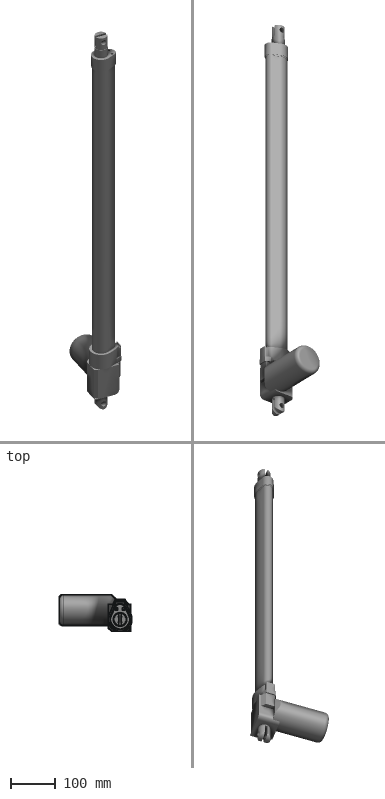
import math

import cadquery as cq


overall_length = 163.51
overall_depth = 82.55
overall_height = 988.0

clevis_diameter = 28.57
bottom_z = -clevis_diameter / 2
top_z = bottom_z + overall_height
gearbox_bottom_z = 23.0
gearbox_top_z = 100.5
collar_top_z = 139.0
cap_top_z = top_z - 52.0
cap_height = 29.5
seal_height = 3.0
rod_end_z = top_z - 31.0

pin_diameter = 12.7
clevis_slot_width = 6.35
lower_slot_top_z = 19.0
upper_slot_depth = 28.5
upper_pin_z = top_z - 12.0
rod_diameter = 30.16

tube_radius = 20.5
tube_lobe_radius = 11.4
lobe_y = 22.1
seal_offset = 0.9
cap_offset = 1.9
collar_radius = 26.7
collar_offset = collar_radius - tube_radius

cap_hole_diameter = 5.92
cap_hole_x = 8.0
cap_hole_y = 23.5
cap_hole_depth = 12.0

gearbox_left_x = -collar_radius
gearbox_right_x = 23.7
gearbox_rear_y = 34.0
gearbox_front_y = -collar_radius
front_face_half_width = 17.9
front_chamfer_depth = 7.0
gearbox_rear_fillet = 12.0
foot_height = 3.0
lug_rear_y = 43.0
lug_half_width = 10.4
lug_base_right_x = lug_half_width + lug_rear_y - gearbox_rear_y

socket_rear_y = 45.8
socket_base_half_width = 16.0
socket_base_top_z = 112.0
socket_rear_fillet = 2.4
socket_channel_width = 3.6
socket_channel_depth = 3.0

motor_diameter = 69.85
motor_left_x = collar_radius - overall_length
motor_y = gearbox_front_y + overall_depth - motor_diameter / 2
motor_z = 60.0
motor_end_fillet = 9.0
motor_bevel_start_x = -20.0
motor_bevel = 10.0


def z_cylinder(diameter, z_low, z_high):
    return cq.Workplane("XY").workplane(offset=z_low).circle(diameter / 2).extrude(z_high - z_low)


def x_cylinder(diameter, y, z, x_low, x_high):
    plane = cq.Workplane("YZ", origin=(x_low, y, z))
    return plane.circle(diameter / 2).extrude(x_high - x_low)


def box(x_low, x_high, y_low, y_high, z_low, z_high):
    size = (x_high - x_low, y_high - y_low, z_high - z_low)
    return cq.Workplane("XY").box(*size, centered=False).translate((x_low, y_low, z_low))


def teardrop(offset, z_low, z_high):
    """Prism around the tube section, offset outward: two circles joined by their common tangents."""
    radius = tube_radius + offset
    lobe_radius = tube_lobe_radius + offset
    slope = math.asin((radius - lobe_radius) / lobe_y)
    main_x = radius * math.cos(slope)
    main_y = radius * math.sin(slope)
    lobe_x = lobe_radius * math.cos(slope)
    lobe_tangent_y = lobe_y + lobe_radius * math.sin(slope)
    return (
        cq.Workplane("XY")
        .workplane(offset=z_low)
        .moveTo(-main_x, main_y)
        .threePointArc((0, -radius), (main_x, main_y))
        .lineTo(lobe_x, lobe_tangent_y)
        .threePointArc((0, lobe_y + lobe_radius), (-lobe_x, lobe_tangent_y))
        .close()
        .extrude(z_high - z_low)
    )


def lower_clevis():
    radius = clevis_diameter / 2
    body = z_cylinder(clevis_diameter, bottom_z, gearbox_bottom_z)
    rounded_side = x_cylinder(clevis_diameter, 0, 0, -radius, radius)
    rounded_side = rounded_side.union(box(-radius, radius, -radius, radius, 0, gearbox_bottom_z))
    slot = box(-clevis_slot_width / 2, clevis_slot_width / 2, -radius, radius, bottom_z, lower_slot_top_z)
    pin_hole = x_cylinder(pin_diameter, 0, 0, -radius, radius)
    return body.intersect(rounded_side).cut(slot).cut(pin_hole)


def upper_clevis():
    radius = clevis_diameter / 2
    slot_radius = clevis_slot_width / 2
    slot_center_z = top_z - upper_slot_depth + slot_radius
    body = z_cylinder(clevis_diameter, rod_end_z, top_z)
    slot = box(-slot_radius, slot_radius, -radius, radius, slot_center_z, top_z)
    slot_end_plane = cq.Workplane("XZ", origin=(0, radius, slot_center_z))
    slot_end = slot_end_plane.circle(slot_radius).extrude(clevis_diameter)
    pin_hole = x_cylinder(pin_diameter, 0, upper_pin_z, -radius, radius)
    return body.cut(slot).cut(slot_end).cut(pin_hole)


def tube_assembly():
    cap_bottom_z = cap_top_z - cap_height
    seal_bottom_z = cap_bottom_z - seal_height
    tube = teardrop(0, collar_top_z, seal_bottom_z)
    seal = teardrop(seal_offset, seal_bottom_z, cap_bottom_z)
    cap = teardrop(cap_offset, cap_bottom_z, cap_top_z)
    for x in (-cap_hole_x, cap_hole_x):
        hole = z_cylinder(cap_hole_diameter, cap_top_z - cap_hole_depth, cap_top_z)
        cap = cap.cut(hole.translate((x, cap_hole_y, 0)))
    rod = z_cylinder(rod_diameter, cap_top_z, rod_end_z)
    return tube.union(seal).union(cap).union(rod)


def rear_lug(rear_y, base_left_x, base_right_x, z_low, z_high):
    """Block from the axis to rear_y; its flanks run in from the base width behind the gearbox rear face."""
    outline = [
        (base_left_x, 0),
        (base_right_x, 0),
        (base_right_x, gearbox_rear_y),
        (lug_half_width, rear_y),
        (-lug_half_width, rear_y),
        (base_left_x, gearbox_rear_y),
    ]
    return cq.Workplane("XY").workplane(offset=z_low).polyline(outline).close().extrude(z_high - z_low)


def socket_block():
    """Block behind the collar with rounded rear edges and a shallow channel across its top."""
    block = box(-lug_half_width, lug_half_width, lobe_y, socket_rear_y, socket_base_top_z, collar_top_z)
    block = block.faces(">Y").edges("|Z").fillet(socket_rear_fillet)
    channel_front_y = lobe_y + tube_lobe_radius + collar_offset
    channel = box(
        -lug_half_width,
        lug_half_width,
        channel_front_y,
        channel_front_y + socket_channel_width,
        collar_top_z - socket_channel_depth,
        collar_top_z,
    )
    return block.cut(channel)


def collar():
    body = teardrop(collar_offset, gearbox_top_z, collar_top_z)
    base = rear_lug(
        socket_rear_y, -socket_base_half_width, socket_base_half_width, gearbox_top_z, socket_base_top_z
    )
    return body.union(base).union(socket_block())


def gearbox():
    outline = [
        (-front_face_half_width, gearbox_front_y),
        (front_face_half_width, gearbox_front_y),
        (gearbox_right_x, gearbox_front_y + front_chamfer_depth),
        (gearbox_right_x, gearbox_rear_y),
        (gearbox_left_x, gearbox_rear_y),
        (gearbox_left_x, gearbox_front_y + front_chamfer_depth),
    ]
    height = gearbox_top_z - gearbox_bottom_z
    body = cq.Workplane("XY").workplane(offset=gearbox_bottom_z).polyline(outline).close().extrude(height)
    body = body.faces(">Y").edges("<Z").fillet(gearbox_rear_fillet)
    foot = box(0, gearbox_right_x, gearbox_front_y, 0, gearbox_bottom_z, gearbox_bottom_z + foot_height)
    lug = rear_lug(lug_rear_y, -lug_half_width, lug_base_right_x, motor_z, gearbox_top_z)
    return body.union(foot).union(lug)


def motor():
    """Motor along X, rounded at its free end and bevelled at 45 degrees behind the gearbox."""
    right_x = motor_bevel_start_x + motor_bevel
    rear_y = motor_y + motor_diameter / 2
    body = x_cylinder(motor_diameter, motor_y, motor_z, motor_left_x, right_x)
    body = body.faces("<X").edges().fillet(motor_end_fillet)
    bevel = (
        cq.Workplane("XY")
        .workplane(offset=motor_z - motor_diameter / 2)
        .polyline([(motor_bevel_start_x, rear_y), (right_x, rear_y - motor_bevel), (right_x, rear_y)])
        .close()
        .extrude(motor_diameter)
    )
    return body.cut(bevel)


result = (
    gearbox()
    .union(collar())
    .union(motor())
    .union(tube_assembly())
    .union(lower_clevis())
    .union(upper_clevis())
)